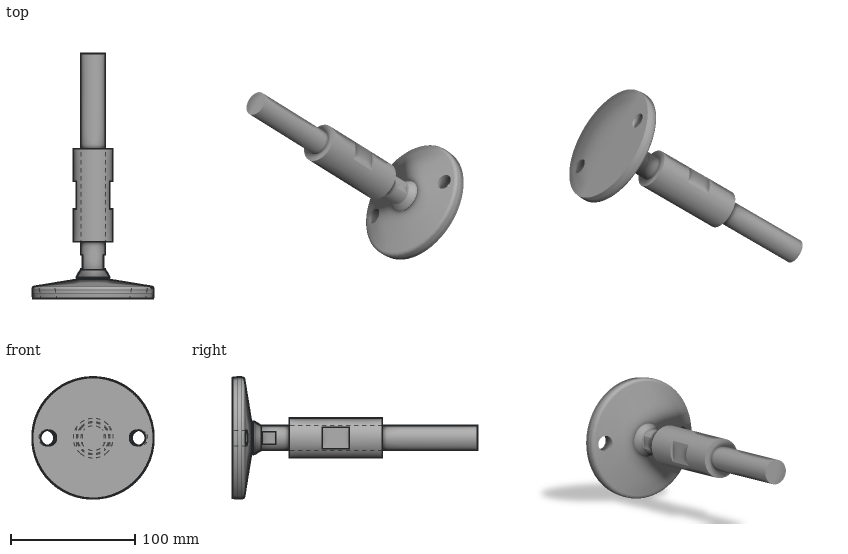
import cadquery as cq
import math


overall_length = 197.0

plate_radius = 98.0 / 2
base_draft = 0.5
draft_height = 4.1
shoulder_fillet = 2.7
top_cone_angle = 9.2
top_slope = math.tan(math.radians(top_cone_angle))
waist_height = 15.4
waist_radius = 12.5
shoulder_height = waist_height - (plate_radius - waist_radius) * top_slope

hole_radius = 12.5 / 2
hole_centre = 35.7
drill_length = 80.0

lip_height = 16.8
lip_radius = 13.4
taper_bottom = 18.0
taper_bottom_radius = 13.0
taper_top = 23.0

rod_diameter = 20.0
rod_across_flats = 17.2
rod_flat_bottom = 24.0
rod_flat_length = 11.0

sleeve_diameter = 32.0
sleeve_bottom = 45.5
sleeve_length = 75.0
sleeve_across_flats = 27.0
sleeve_flat_length = 22.0
sleeve_flat_bottom = sleeve_bottom + (sleeve_length - sleeve_flat_length) / 2

SIDES = (-1, 1)


def cut_flats(body, diameter, across_flats, bottom, length):
    """Cut two parallel wrench flats facing -X and +X."""
    flat_depth = (diameter - across_flats) / 2
    for side in SIDES:
        cutter = cq.Workplane("XY").box(2 * flat_depth, length, diameter)
        body = body.cut(cutter.translate((side * diameter / 2, bottom + length / 2, 0)))
    return body


def turned_foot():
    """Plate, neck and rod, revolved about the Y axis."""
    rod_radius = rod_diameter / 2
    return (
        cq.Workplane("XY")
        .lineTo(plate_radius - base_draft, 0)
        .lineTo(plate_radius, draft_height)
        .lineTo(plate_radius, shoulder_height)
        .lineTo(waist_radius, waist_height)
        .lineTo(lip_radius, lip_height)
        .lineTo(taper_bottom_radius, taper_bottom)
        .lineTo(rod_radius, taper_top)
        .lineTo(rod_radius, overall_length)
        .lineTo(0, overall_length)
        .close()
        .revolve(360, (0, 0, 0), (0, 1, 0))
    )


def round_shoulder(foot):
    """Fillet the edge between the rim and the conical top."""
    shoulder_point = (0, shoulder_height, plate_radius)
    return foot.edges(cq.NearestToPointSelector(shoulder_point)).fillet(shoulder_fillet)


def drill_fixing_holes(foot):
    """Drill one hole on each side, leaning outwards as it rises."""
    for side in SIDES:
        axis = cq.Vector(side * top_slope, 1, 0).normalized()
        start = cq.Vector(side * hole_centre, 0, 0) - axis * (drill_length / 2)
        drill = cq.Solid.makeCylinder(hole_radius, drill_length, start, axis)
        foot = foot.cut(cq.Workplane(drill))
    return foot


def make_foot():
    foot = drill_fixing_holes(round_shoulder(turned_foot()))
    return cut_flats(foot, rod_diameter, rod_across_flats, rod_flat_bottom, rod_flat_length)


def make_sleeve():
    sleeve = (
        cq.Workplane("XZ", origin=(0, sleeve_bottom, 0))
        .circle(sleeve_diameter / 2)
        .circle(rod_diameter / 2)
        .extrude(-sleeve_length)
    )
    return cut_flats(
        sleeve, sleeve_diameter, sleeve_across_flats, sleeve_flat_bottom, sleeve_flat_length
    )


foot = make_foot()
sleeve = make_sleeve()

result = cq.Compound.makeCompound([foot.solids().val(), sleeve.solids().val()])